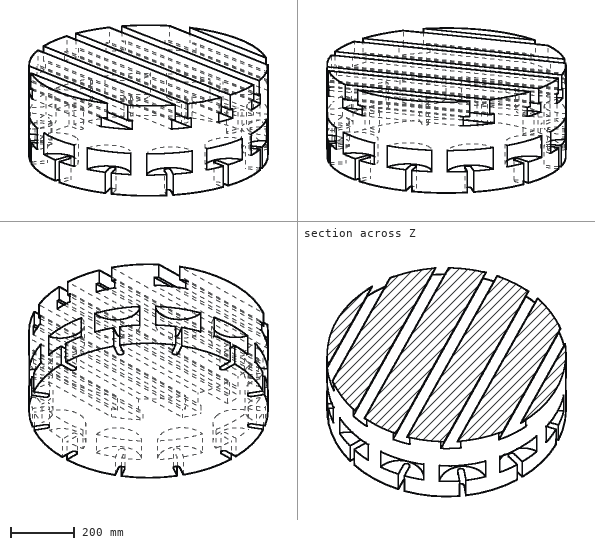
import cadquery as cq

diameter = 750.0
height = 300.0
radius = diameter / 2

t_slot_count = 5
t_slot_pitch = 154.0
neck_width = 37.5
neck_depth = 49.5
foot_width = 57.0
t_slot_depth = 79.5
foot_height = t_slot_depth - neck_depth

station_count = 12
station_angle = 360 / station_count
pocket_radius = 76.5
pocket_center = 390.0
pocket_floor = 70.0
pocket_height = 70.5
clamp_slot_width = 20.0
clamp_slot_end = 322.5


def t_slot(y):
    """T-shaped cutter along X, centred on the given Y."""
    neck = cq.Workplane("XY").box(diameter, neck_width, t_slot_depth, centered=(True, True, False))
    foot = cq.Workplane("XY").box(diameter, foot_width, foot_height, centered=(True, True, False))
    return neck.union(foot).translate((0, y, height - t_slot_depth))


def clamp_station():
    """Round pocket opening on the rim, with a round-ended slot below it, on the +X side."""
    pocket_outer_end = pocket_center + pocket_radius
    pocket = (
        cq.Workplane("XY")
        .circle(pocket_radius)
        .extrude(pocket_height)
        .translate((pocket_center, 0, pocket_floor))
    )
    slot_length = pocket_outer_end - clamp_slot_end
    slot = (
        cq.Workplane("XY")
        .center((clamp_slot_end + pocket_outer_end) / 2, 0)
        .slot2D(slot_length, clamp_slot_width)
        .extrude(pocket_floor)
    )
    return pocket.union(slot)


result = cq.Workplane("XY").circle(radius).extrude(height)

for index in range(t_slot_count):
    slot_y = (index - (t_slot_count - 1) / 2) * t_slot_pitch
    result = result.cut(t_slot(slot_y))

station_cutter = clamp_station()
for index in range(station_count):
    result = result.cut(station_cutter.rotate((0, 0, 0), (0, 0, 1), index * station_angle))